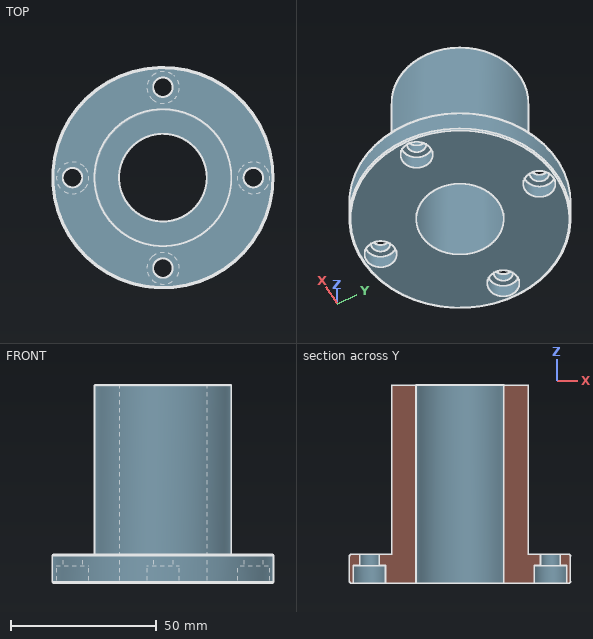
import cadquery as cq

FLANGE_DIAMETER = 76.0
FLANGE_THICKNESS = 10.0
FLANGE_CHAMFER = 0.5
BARREL_DIAMETER = 47.0
TOTAL_HEIGHT = 68.0
BARREL_FILLET = 0.25
BORE_DIAMETER = 30.0

BOLT_HOLE_DIAMETER = 6.6
BOLT_CIRCLE_DIAMETER = 62.0
BOLT_COUNT = 4

COUNTERBORE_DIAMETER = 11.0
COUNTERBORE_DEPTH = 6.1


def make_flange():
    """Round base disc with both rims chamfered."""
    disc = cq.Workplane("XY").circle(FLANGE_DIAMETER / 2).extrude(FLANGE_THICKNESS)
    return disc.edges().chamfer(FLANGE_CHAMFER)


def make_barrel():
    """Full-height cylinder with its top outer rim rounded."""
    barrel = cq.Workplane("XY").circle(BARREL_DIAMETER / 2).extrude(TOTAL_HEIGHT)
    return barrel.faces(">Z").edges().fillet(BARREL_FILLET)


def make_bore():
    """Cutter for the central through bore."""
    return cq.Workplane("XY").circle(BORE_DIAMETER / 2).extrude(TOTAL_HEIGHT)


def make_bolt_cutters(diameter, height):
    """Ring of cylinders on the bolt circle, rising from the underside of the flange."""
    return (
        cq.Workplane("XY")
        .polarArray(BOLT_CIRCLE_DIAMETER / 2, 0, 360, BOLT_COUNT)
        .circle(diameter / 2)
        .extrude(height)
    )


bushing = make_flange().union(make_barrel()).cut(make_bore())
bolt_holes = make_bolt_cutters(BOLT_HOLE_DIAMETER, FLANGE_THICKNESS)
counterbores = make_bolt_cutters(COUNTERBORE_DIAMETER, COUNTERBORE_DEPTH)

result = bushing.cut(bolt_holes).cut(counterbores)